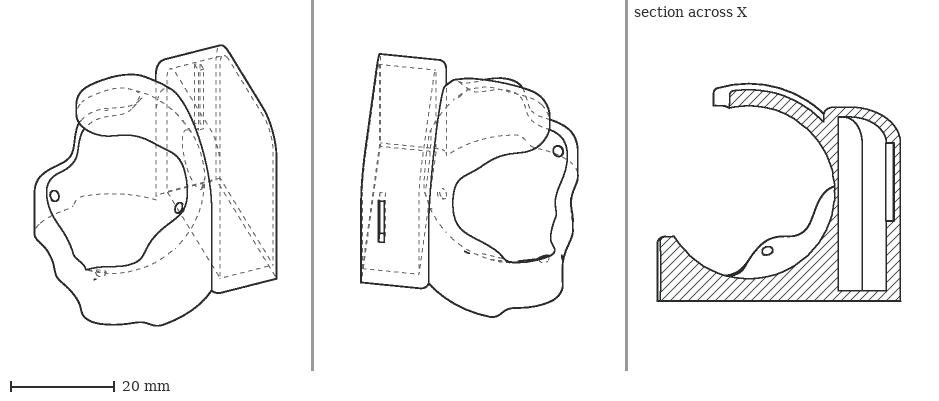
import cadquery as cq
import math

TURN = 45.0

WALL = 3.0
INNER_RADIUS = 18.0
OUTER_RADIUS = INNER_RADIUS + WALL
CENTRE_Z = OUTER_RADIUS
RIM_FILLET = 1.0

NOSE_RADIUS = 6.8

BEARING_DIAMETER = 2.1
BEARING_CIRCLE_RADIUS = 14.0
BEARING_COUNT = 3

BOX_FRONT = 15.0
BOX_BACK = 28.0
BOX_WIDTH = 32.0
BOX_HEIGHT = 37.5
BOX_CORNER = 7.0
BOX_FILLET = 1.5
BOX_WALL = 2.0

SLOT_WIDTH = 1.1
SLOT_CENTRE_U = 24.05
SLOT_BOTTOM = 15.5
SLOT_TOP = BOX_HEIGHT - BOX_CORNER

FOOTPRINT_JOIN_U = 2.5
FOOTPRINT_HALF = [
    (-11.3, 0.0),
    (-10.6, 3.4),
    (-10.2, 6.0),
    (-10.3, 9.6),
    (-10.8, 12.6),
    (-9.9, 15.0),
    (-7.1, 17.0),
    (-3.5, 18.1),
    (-0.6, 18.9),
    (0.6, 20.2),
]

DIAGONAL = (-1.0, 1.0, 0.0)
ACROSS = (0.0, 1.0, 0.0)
UPRIGHT = (0.0, 0.0, 1.0)
RIM_HALF = [
    (-7.9, 0.0, -1, (-1.0, 0.0, 0.0)),
    (-7.5, 3.1, -1, (-1.0, 0.1, 0.0)),
    (-7.6, 5.6, -1, (-1.0, 0.5, 0.0)),
    (-8.7, 8.7, -1, DIAGONAL),
    (-8.9, 11.2, -1, DIAGONAL),
    (-7.8, 13.5, -1, DIAGONAL),
    (-5.5, 14.9, -1, DIAGONAL),
    (-3.5, 15.5, -1, ACROSS),
    (-1.0, 16.4, -1, ACROSS),
    (0.0, 17.3, -1, ACROSS),
    (1.3, 17.88, -1, ACROSS),
    (4.4, 17.44, 1, ACROSS),
    (8.7, 15.65, 1, (1.0, 1.0, 0.0)),
    (10.5, 13.0, 1, (1.0, 0.7, 0.0)),
    (9.7, 10.6, 1, (1.0, 0.6, 0.3)),
    (6.2, 9.4, 1, (0.7, 0.0, 1.0)),
    (3.0, 7.9, 1, (0.2, 0.0, 1.0)),
]
NOSE_ANGLES = (90, 120, 150, 180)

RIM_INSIDE = 1.0
RIM_OUTSIDE = 5.0
RIM_TOLERANCE = 0.01


def ball(radius):
    return cq.Workplane("XY").sphere(radius).translate((0, 0, CENTRE_Z))


def dome():
    above_centre = cq.Workplane("XY").workplane(offset=CENTRE_Z)
    above_centre = above_centre.circle(2 * OUTER_RADIUS).extrude(OUTER_RADIUS)
    return ball(OUTER_RADIUS).intersect(above_centre)


def skirt():
    front = [(u, -v) for u, v in reversed(FOOTPRINT_HALF[1:])] + FOOTPRINT_HALF
    join_v = math.sqrt(OUTER_RADIUS**2 - FOOTPRINT_JOIN_U**2)
    points = [(FOOTPRINT_JOIN_U, -join_v)] + front + [(FOOTPRINT_JOIN_U, join_v)]
    outline = cq.Workplane("XY").moveTo(*points[0]).spline(points[1:], includeCurrent=True)
    outline = outline.threePointArc((OUTER_RADIUS, 0), points[0]).close()
    return outline.extrude(CENTRE_Z)


def rim_stations():
    half = list(RIM_HALF)
    for angle in NOSE_ANGLES:
        turn = math.radians(angle)
        half.append((NOSE_RADIUS * math.cos(turn), NOSE_RADIUS * math.sin(turn), 1, UPRIGHT))
    mirrored = [(u, -v, side, (d[0], -d[1], d[2])) for u, v, side, d in reversed(half[1:-1])]
    return half + mirrored


def rim_surface():
    """Closed ribbon that crosses the wall all the way round the opening."""
    near = []
    far = []
    for u, v, side, direction in rim_stations():
        z = CENTRE_Z + side * math.sqrt(INNER_RADIUS**2 - u**2 - v**2)
        start = cq.Vector(u, v, z)
        along = cq.Vector(*direction).normalized()
        near.append(start - along * RIM_INSIDE)
        far.append(start + along * RIM_OUTSIDE)
    inner_edge = cq.Edge.makeSpline(near, periodic=True)
    outer_edge = cq.Edge.makeSpline(far, periodic=True)
    return cq.Face.makeRuledSurface(inner_edge, outer_edge)


def is_outer_rim_edge(edge, rim):
    """True for an edge of the rim face that touches the inner sphere nowhere."""
    centre = cq.Vector(0, 0, CENTRE_Z)
    middle = edge.positionAt(0.5)
    on_rim = rim.distance(cq.Vertex.makeVertex(*middle.toTuple())) < RIM_TOLERANCE
    samples = [edge.startPoint(), middle, edge.endPoint()]
    clear_of_ball = all((p - centre).Length > INNER_RADIUS + RIM_TOLERANCE for p in samples)
    return on_rim and clear_of_ball


def box_outline(plane_u, inset):
    width = BOX_WIDTH - 2 * inset
    height = BOX_HEIGHT - 2 * inset
    plane = cq.Workplane("YZ").workplane(offset=plane_u)
    return plane.center(0, BOX_HEIGHT / 2).rect(width, height)


def box():
    solid = box_outline(BOX_FRONT, 0).extrude(BOX_BACK - BOX_FRONT)
    solid = solid.edges("|X and >Z").fillet(BOX_CORNER)
    return solid.faces("<X").edges("not <Z").fillet(BOX_FILLET)


def socket_and_box():
    blank = skirt().union(dome()).union(box()).cut(ball(INNER_RADIUS))
    pieces = blank.val().split(rim_surface()).Solids()
    return cq.Workplane(max(pieces, key=lambda piece: piece.Volume()))


def box_pocket():
    """Hollow of the box; its front plane opens a round window into the ball socket."""
    pocket_front = BOX_FRONT + BOX_WALL
    pocket = box_outline(pocket_front, BOX_WALL).extrude(BOX_BACK - pocket_front)
    return pocket.edges("|X and >Z").fillet(BOX_CORNER - BOX_WALL)


def side_slot():
    height = SLOT_TOP - SLOT_BOTTOM
    slot = cq.Workplane("XY").box(SLOT_WIDTH, BOX_WALL, height, centered=(True, False, False))
    return slot.translate((SLOT_CENTRE_U, BOX_WIDTH / 2 - BOX_WALL, SLOT_BOTTOM))


def bearing_sockets():
    depth = math.sqrt(INNER_RADIUS**2 - BEARING_CIRCLE_RADIUS**2)
    centres = cq.Workplane("XY").workplane(offset=CENTRE_Z - depth)
    centres = centres.polarArray(BEARING_CIRCLE_RADIUS, 0, 360, BEARING_COUNT)
    return centres.sphere(BEARING_DIAMETER / 2)


def round_rim(housing):
    rim = rim_surface()
    solid = housing.val().Solids()[0]
    outer_edges = [edge for edge in solid.Edges() if is_outer_rim_edge(edge, rim)]
    return cq.Workplane(solid.fillet(RIM_FILLET, outer_edges))


housing = socket_and_box().cut(box_pocket()).cut(side_slot()).cut(bearing_sockets())
result = round_rim(housing).rotate((0, 0, 0), (0, 0, 1), TURN)